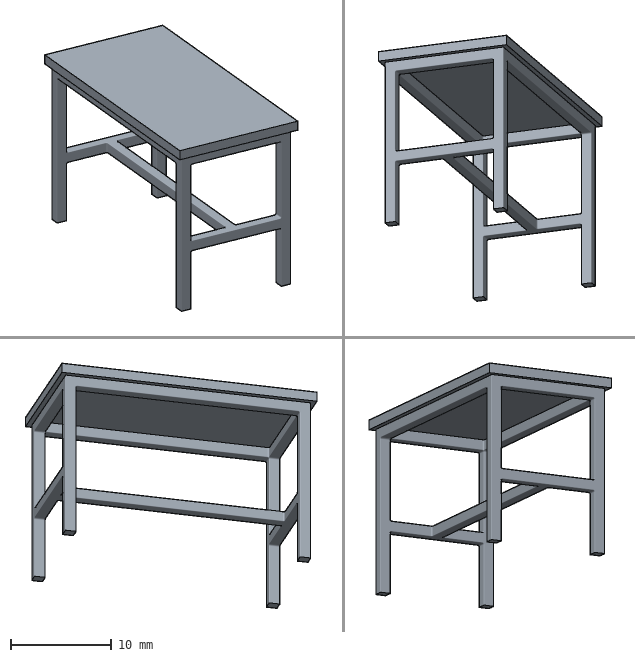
import cadquery as cq
LENGTH = 26.42
WIDTH = 13.7
HEIGHT = 18.02

TOP_THICKNESS = 1.0
OVERHANG = 0.5

BAR = 1.1
RAIL_TOP = 7.48
JOINT_RADIUS = 0.15
EDGE_RADIUS = 0.065

SMOOTH_LIMIT = 0.99

frame_length = LENGTH - 2 * OVERHANG
frame_width = WIDTH - 2 * OVERHANG
frame_height = HEIGHT - TOP_THICKNESS
inner_length = frame_length - 2 * BAR
inner_width = frame_width - 2 * BAR
apron_bottom = frame_height - BAR
rail_bottom = RAIL_TOP - BAR


def block(length, width, bottom, top):
    """Box centred on X and Y, between two heights."""
    base = cq.Workplane("XY").workplane(offset=bottom)
    return base.box(length, width, top - bottom, centered=(True, True, False))


def is_sharp(edge, faces):
    """True when the two faces beside the edge meet at an angle."""
    middle = edge.positionAt(0.5)
    first, second = [
        face.normalAt(middle) for face in faces if any(edge.isSame(side) for side in face.Edges())
    ]
    return first.dot(second) < SMOOTH_LIMIT


def round_bar_edges(body):
    """Round every sharp edge except those around the flat feet."""
    faces = body.faces().vals()
    foot_edges = body.faces("<Z").edges().vals()
    sharp_edges = [
        edge for edge in body.edges().vals()
        if is_sharp(edge, faces) and not any(edge.isSame(foot) for foot in foot_edges)
    ]
    return body.newObject(sharp_edges).fillet(EDGE_RADIUS)


def make_tabletop():
    return block(LENGTH, WIDTH, frame_height, HEIGHT)


def make_four_leg_frame():
    """Legs, aprons and side rails, left after cutting the openings from one block."""
    leg_opening = block(inner_length, frame_width, 0, apron_bottom)
    leg_opening = leg_opening.edges("|Y and >Z").fillet(JOINT_RADIUS)

    upper_window = block(frame_length, inner_width, RAIL_TOP, apron_bottom)
    upper_window = upper_window.edges("|X").fillet(JOINT_RADIUS)
    lower_window = block(frame_length, inner_width, 0, rail_bottom)
    lower_window = lower_window.edges("|X and >Z").fillet(JOINT_RADIUS)

    apron_well = block(inner_length, inner_width, 0, frame_height)
    apron_well = apron_well.edges("|Z").fillet(JOINT_RADIUS)

    body = block(frame_length, frame_width, 0, frame_height)
    for opening in (leg_opening, upper_window, lower_window, apron_well):
        body = body.cut(opening)
    return body


def add_stretcher(body):
    """Join the two side rails along X and round the corners where it meets them."""
    body = body.union(block(inner_length, BAR, rail_bottom, RAIL_TOP))
    joint_zone = cq.selectors.BoxSelector(
        (-frame_length / 2, -BAR, rail_bottom), (frame_length / 2, BAR, RAIL_TOP)
    )
    return body.edges("|Z").edges(joint_zone).fillet(JOINT_RADIUS)


def make_frame():
    return round_bar_edges(add_stretcher(make_four_leg_frame()))


tabletop = make_tabletop()
frame = make_frame()
result = cq.Compound.makeCompound([tabletop.val(), frame.val()])